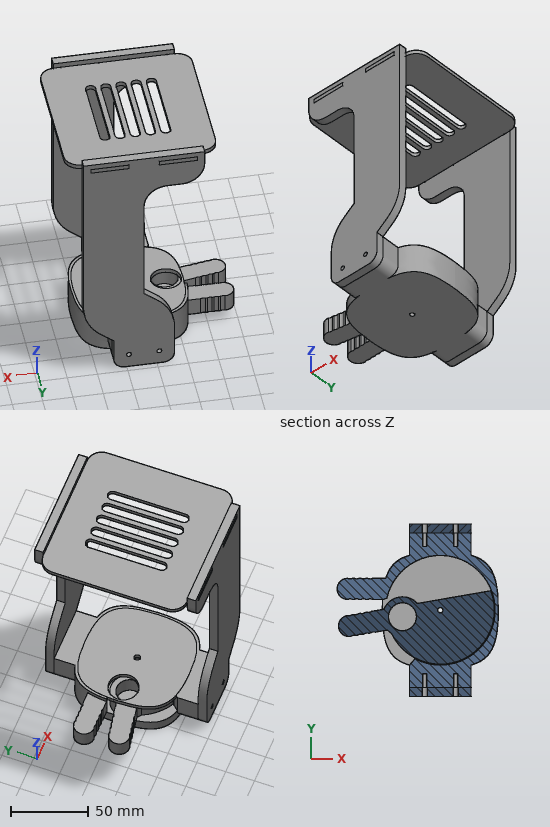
import cadquery as cq
import math

total_height = 173.0
total_depth = 112.0
lever_reach = 67.0

plate_side = 100.0
plate_thickness = 3.0
plate_drop = 3.6
plate_corner_radius = 10.0
vent_count = 5
vent_width = 6.5
vent_length = 56.2
vent_pitch = 10.0

tab_length = 25.0
tab_offset = 22.5

arm_thickness = (total_depth - plate_side) / 2
arm_top_half_width = 40.0
arm_head_depth = 24.9
arm_head_radius = 15.0
arm_bend_radius = 30.0
arm_slope = math.tan(math.radians(38))
arm_knee_height = 59.7
screw_hole_diameter = 3.1
screw_pilot_diameter = 2.5
screw_pilot_depth = 8.6
screw_offset = 10.0
screw_height = 10.0

base_height = 23.0
floor_height = 8.0
lid_thickness = 3.0
lid_bottom = base_height - lid_thickness
base_half_width = 37.7
base_diagonal = 30.1
block_half_width = 20.0
foot_radius = 7.5
cavity_radius = 35.5
lever_relief_radius = 13.8
lever_relief_center = (-30.8, -5.5)
window_inner_corner = (-16.8, -31.8)
window_outer_y = -35.6
window_reach = plate_side / 2

lid_half_width = 36.2
lid_diagonal = 28.5
lid_pivot_diameter = 4.2
outlet_diameter = 20.0
outlet_distance = 24.9

lever_height = lid_bottom - floor_height
lever_half_width = 7.0
lever_tip_distance = lever_reach - lever_half_width
fixed_lever_y = 13.8
swing_angle = 9.8
groove_count = 4
groove_pitch = 4.3
groove_chord = 3.1
groove_radius = 3.3

rotor_radius = 35.1
boss_radius = 13.0
rotor_hole_diameter = 18.0
pivot_diameter = 3.3

plate_top = total_height - plate_drop
plate_bottom = plate_top - plate_thickness
arm_inner_y = plate_side / 2


def cylinder(center, diameter, bottom, height):
    return cq.Workplane("XY", origin=(*center, bottom)).circle(diameter / 2).extrude(height)


def soft_square(half_width, diagonal, bottom, height):
    """Square prism with bulging sides: four equal curves that meet at the side middles."""
    outline = cq.Workplane("XY", origin=(0, 0, bottom)).moveTo(half_width, 0)
    x_dir, y_dir = 1, 0
    for _ in range(4):
        next_x_dir, next_y_dir = -y_dir, x_dir
        corner = (diagonal * (x_dir + next_x_dir), diagonal * (y_dir + next_y_dir))
        next_middle = (half_width * next_x_dir, half_width * next_y_dir)
        end_tangents = [(next_x_dir, next_y_dir), (-x_dir, -y_dir)]
        outline = outline.spline([corner, next_middle], tangents=end_tangents, includeCurrent=True)
        x_dir, y_dir = next_x_dir, next_y_dir
    return outline.close().extrude(height)


def make_plate():
    plate = cq.Workplane("XY", origin=(0, 0, plate_bottom)).rect(plate_side, plate_side)
    plate = plate.extrude(plate_thickness).edges("|Z").fillet(plate_corner_radius)
    tabs = cq.Workplane("XY", origin=(0, 0, plate_bottom))
    tabs = tabs.pushPoints([(-tab_offset, 0), (tab_offset, 0)])
    tabs = tabs.rect(tab_length, total_depth).extrude(plate_thickness)
    vents = cq.Workplane("XY", origin=(0, 0, plate_bottom)).rarray(vent_pitch, 1.7, vent_count, 1)
    vents = vents.slot2D(vent_length, vent_width, 90).extrude(plate_thickness)
    return plate.union(tabs).cut(vents)


def make_arm(inner_y):
    """Arm standing on the XZ plane whose smaller Y face is at inner_y."""
    head_bottom = total_height - arm_head_depth
    rounded_corners = [
        ((-arm_top_half_width, head_bottom), arm_head_radius),
        ((0, head_bottom), arm_head_radius),
        ((-block_half_width, arm_knee_height - arm_slope * block_half_width), arm_bend_radius),
        ((-block_half_width, 0), foot_radius),
        ((block_half_width, 0), foot_radius),
        (
            (arm_top_half_width, base_height + arm_slope * (arm_top_half_width - block_half_width)),
            arm_bend_radius,
        ),
    ]
    corners = [corner for corner, _ in rounded_corners]
    outline = [(arm_top_half_width, total_height), (-arm_top_half_width, total_height)]
    outline += corners[:2] + [(0, arm_knee_height)] + corners[2:5]
    outline += [(block_half_width, base_height), corners[5]]
    arm = cq.Workplane("XZ", origin=(0, inner_y + arm_thickness, 0)).polyline(outline).close()
    arm = arm.extrude(arm_thickness)
    for (x, z), radius in rounded_corners:
        corner_edge = cq.selectors.NearestToPointSelector((x, inner_y + arm_thickness / 2, z))
        arm = arm.edges(corner_edge).fillet(radius)
    tab_slots = cq.Workplane("XY", origin=(0, inner_y + arm_thickness / 2, plate_bottom))
    tab_slots = tab_slots.pushPoints([(-tab_offset, 0), (tab_offset, 0)])
    tab_slots = tab_slots.rect(tab_length, arm_thickness).extrude(plate_thickness)
    screw_holes = cq.Workplane("XZ", origin=(0, inner_y + arm_thickness, 0))
    screw_holes = screw_holes.pushPoints([(-screw_offset, screw_height), (screw_offset, screw_height)])
    screw_holes = screw_holes.circle(screw_hole_diameter / 2).extrude(arm_thickness)
    return arm.cut(tab_slots).cut(screw_holes)


def make_lever():
    """Grooved finger lever that runs from the Z axis toward -X and ends in a round tip."""
    lever = cq.Workplane("XY", origin=(-lever_tip_distance / 2, 0, floor_height))
    lever = lever.rect(lever_tip_distance, 2 * lever_half_width).extrude(lever_height)
    lever = lever.union(cylinder((-lever_tip_distance, 0), 2 * lever_half_width, floor_height, lever_height))
    half_chord = groove_chord / 2
    groove_y = lever_half_width + math.sqrt(groove_radius**2 - half_chord**2)
    for i in range(groove_count):
        groove_x = -lever_tip_distance + half_chord + i * groove_pitch
        for side in (-1, 1):
            groove = cylinder((groove_x, side * groove_y), 2 * groove_radius, floor_height, lever_height)
            lever = lever.cut(groove)
    return lever


def make_window_cutter():
    """Prism that opens the base wall from the fixed lever round to the -Y foot block."""
    top_y = fixed_lever_y - lever_half_width
    inner_x, inner_y = window_inner_corner
    outline = [
        (-window_reach, top_y),
        (inner_x, top_y),
        (inner_x, inner_y),
        (-block_half_width, window_outer_y),
        (-block_half_width, -window_reach),
        (-window_reach, -window_reach),
    ]
    return cq.Workplane("XY", origin=(0, 0, floor_height)).polyline(outline).close().extrude(base_height)


def make_base():
    block = cq.Workplane("XY").rect(2 * block_half_width, plate_side).extrude(base_height)
    block = block.edges("|Y and <Z").fillet(foot_radius)
    base = soft_square(base_half_width, base_diagonal, 0, base_height).union(block)
    base = base.cut(make_window_cutter())
    base = base.union(make_lever().translate((0, fixed_lever_y, 0)))
    base = base.cut(cylinder((0, 0), 2 * cavity_radius, floor_height, lever_height))
    base = base.cut(cylinder(lever_relief_center, 2 * lever_relief_radius, floor_height, lever_height))
    base = base.cut(soft_square(lid_half_width, lid_diagonal, lid_bottom, lid_thickness))
    base = base.cut(cylinder((0, 0), pivot_diameter, 0, floor_height))
    for side in (-1, 1):
        pilot_middle_y = side * (arm_inner_y - screw_pilot_depth / 2)
        pilots = cq.Workplane("XZ", origin=(0, pilot_middle_y, 0))
        pilots = pilots.pushPoints([(-screw_offset, screw_height), (screw_offset, screw_height)])
        base = base.cut(pilots.circle(screw_pilot_diameter / 2).extrude(screw_pilot_depth / 2, both=True))
    return base


def make_lid():
    lid = soft_square(lid_half_width, lid_diagonal, lid_bottom, lid_thickness)
    lid = lid.cut(cylinder((0, 0), lid_pivot_diameter, lid_bottom, lid_thickness))
    return lid.cut(cylinder((-outlet_distance, 0), outlet_diameter, lid_bottom, lid_thickness))


def make_rotor():
    """Half disc with a round boss and a finger lever, swung about the Z axis."""
    half_disc = cylinder((0, 0), 2 * rotor_radius, floor_height, lever_height)
    removed = cq.Workplane("XY", origin=(0, lever_half_width + rotor_radius / 2, floor_height))
    half_disc = half_disc.cut(removed.rect(2 * rotor_radius, rotor_radius).extrude(lever_height))
    boss = cylinder((-outlet_distance, 0), 2 * boss_radius, floor_height, lever_height)
    rotor = half_disc.union(boss).union(make_lever())
    rotor = rotor.cut(cylinder((-outlet_distance, 0), rotor_hole_diameter, floor_height, lever_height))
    rotor = rotor.cut(cylinder((0, 0), pivot_diameter, floor_height, lever_height))
    return rotor.rotate((0, 0, 0), (0, 0, 1), swing_angle)


plate = make_plate()
arms = [make_arm(inner_y) for inner_y in (-arm_inner_y - arm_thickness, arm_inner_y)]
base = make_base()
lid = make_lid()
rotor = make_rotor()

result = cq.Compound.makeCompound(
    [plate.val(), *[arm.val() for arm in arms], base.val(), lid.val(), rotor.val()]
)